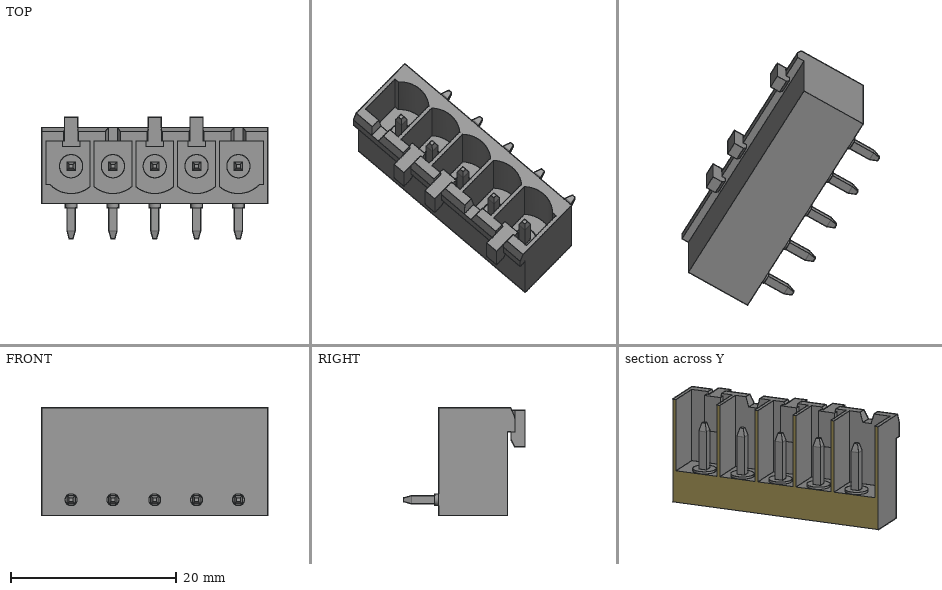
import cadquery as cq
import math

length = 27.4
height = 13.1
depth = 8.35
lip_back = 9.25
lip_bottom = 10.15
bevel_bottom = 11.85
bevel_top_y = 8.75

pole_count = 5
pitch = 5.07
coded_poles = (0, 2, 3)

partition = 0.47
end_wall = 0.5
socket_back = 7.6
socket_front = 1.23
corner_y = 2.08
end_step_y = 2.3
socket_floor = 4.05
socket_half = (pitch - partition) / 2
front_sag = corner_y - socket_front
front_radius = (socket_half**2 + front_sag**2) / (2 * front_sag)

notch_floor = 11.85
notch_floor_width = 1.1
notch_top_width = 1.84

clip_width = 1.62
clip_top = 12.77
clip_bottom = 8.33
clip_back = 10.5
hook_front = 8.77
hook_bevel_top = 9.18
hook_bevel_y = 9.2
paddle_width = 2.15
paddle_front = 6.93

pin_width = 1.01
pin_tip_width = 0.47
taper_length = 1.0
contact_y = 4.55
contact_top = 10.15
seat_diameter = 2.82
seat_height = 0.27
tail_z = 1.92
tail_length = 4.27
collar_diameter = 1.45
collar_length = 0.5

pole_centers = [(i - (pole_count - 1) / 2) * pitch for i in range(pole_count)]


def box(x_range, y_range, z_range):
    """Axis-aligned block given by its limits on each axis."""
    (x0, x1), (y0, y1), (z0, z1) = x_range, y_range, z_range
    return cq.Workplane("XY").box(x1 - x0, y1 - y0, z1 - z0, centered=False).translate((x0, y0, z0))


def side_prism(points, width):
    """Extrude a (Y, Z) outline along X, centred on X = 0."""
    return cq.Workplane("YZ").polyline(points).close().extrude(width / 2, both=True)


def make_housing():
    outline = [
        (0, 0),
        (depth, 0),
        (depth, lip_bottom),
        (lip_back, lip_bottom),
        (lip_back, bevel_bottom),
        (bevel_top_y, height),
        (0, height),
    ]
    return side_prism(outline, length)


def make_socket():
    """Pocket with a flat back, straight sides and a rounded front."""
    return (
        cq.Workplane("XY", origin=(0, 0, socket_floor))
        .moveTo(-socket_half, socket_back)
        .lineTo(-socket_half, corner_y)
        .threePointArc((0, socket_front), (socket_half, corner_y))
        .lineTo(socket_half, socket_back)
        .close()
        .extrude(height - socket_floor)
    )


def make_end_socket():
    """Socket at the +X end: wider on its outer side, with a step before the rounded front."""
    outer_half = length / 2 - end_wall - pole_centers[-1]
    front_rise = front_radius - (end_step_y - socket_front)
    step_x = math.sqrt(front_radius**2 - front_rise**2)
    return (
        cq.Workplane("XY", origin=(0, 0, socket_floor))
        .moveTo(-socket_half, socket_back)
        .lineTo(-socket_half, corner_y)
        .threePointArc((0, socket_front), (step_x, end_step_y))
        .lineTo(outer_half, end_step_y)
        .lineTo(outer_half, socket_back)
        .close()
        .extrude(height - socket_floor)
    )


def make_notch():
    """Trapezoidal opening through the rear wall and lip, wider at the top."""
    return (
        cq.Workplane("XZ", origin=(0, socket_back, 0))
        .moveTo(-notch_floor_width / 2, notch_floor)
        .lineTo(notch_floor_width / 2, notch_floor)
        .lineTo(notch_top_width / 2, height)
        .lineTo(-notch_top_width / 2, height)
        .close()
        .extrude(socket_back - lip_back)
    )


def make_clip():
    """Coding clip: paddle in the socket, neck filling the notch and hook behind the lip."""
    half = clip_width / 2
    paddle = box(
        (-paddle_width / 2, paddle_width / 2), (paddle_front, socket_back), (clip_bottom, clip_top)
    )
    neck = box((-half, half), (socket_back, lip_back), (notch_floor, clip_top)).intersect(make_notch())
    hook = side_prism(
        [
            (lip_back, clip_top),
            (clip_back, clip_top),
            (clip_back, clip_bottom),
            (hook_bevel_y, clip_bottom),
            (hook_front, hook_bevel_top),
            (hook_front, lip_bottom),
            (lip_back, lip_bottom),
        ],
        clip_width,
    )
    return paddle.union(neck).union(hook)


def make_pin(pin_length):
    """Square pin along +Z with a tapered tip."""
    shank_length = pin_length - taper_length
    shank = cq.Workplane("XY").rect(pin_width, pin_width).extrude(shank_length)
    tip = (
        cq.Workplane("XY", origin=(0, 0, shank_length))
        .rect(pin_width, pin_width)
        .workplane(offset=taper_length)
        .rect(pin_tip_width, pin_tip_width)
        .loft(ruled=True)
    )
    return shank.union(tip)


def make_contact():
    """Upright pin on a round seat in the socket."""
    seat = cq.Workplane("XY").circle(seat_diameter / 2).extrude(seat_height)
    return seat.union(make_pin(contact_top - socket_floor)).translate((0, contact_y, socket_floor))


def make_tail():
    """Solder pin with a round collar, pointing out of the front face."""
    collar = cq.Workplane("XY").circle(collar_diameter / 2).extrude(collar_length)
    tail = collar.union(make_pin(tail_length))
    return tail.rotate((0, 0, 0), (1, 0, 0), 90).translate((0, 0, tail_z))


result = make_housing()
for x in pole_centers[1:-1]:
    result = result.cut(make_socket().translate((x, 0, 0)))

end_socket = make_end_socket().translate((pole_centers[-1], 0, 0))
result = result.cut(end_socket).cut(end_socket.mirror("YZ"))

for x in pole_centers:
    result = result.cut(make_notch().translate((x, 0, 0)))
    result = result.union(make_contact().translate((x, 0, 0)))
    result = result.union(make_tail().translate((x, 0, 0)))

for pole in coded_poles:
    result = result.union(make_clip().translate((pole_centers[pole], 0, 0)))